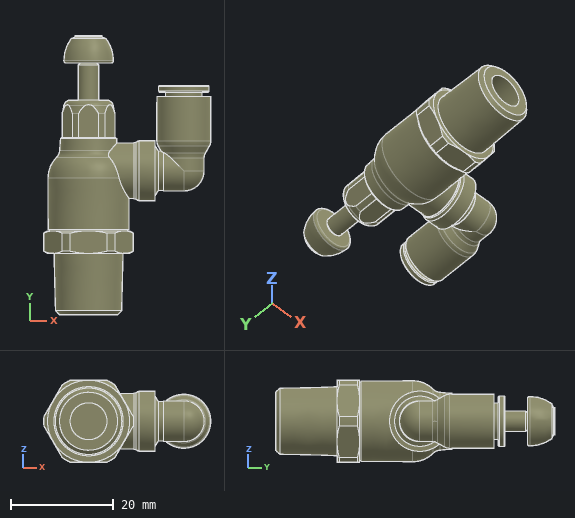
import cadquery as cq
import math

OVERALL_LENGTH = 54.4

THREAD_TIP_RADIUS = 6.5
THREAD_ROOT_RADIUS = 6.75
THREAD_LENGTH = 11.95
THREAD_CHAMFER = 0.8
BORE_RADIUS = 3.6
BORE_DEPTH = THREAD_LENGTH

HEX_FLATS = 16.0
HEX_CORNER_RADIUS = 8.75
HEX_HEIGHT = 4.4
HEX_CHAMFER_ANGLE = 30.0

RELIEF_RADIUS = 7.65
RELIEF_TOP_Y = 16.6
BODY_BASE_RADIUS = 7.9
BODY_RADIUS = 7.95
DOME_START_Y = 26.65
DOME_RADIUS = 5.65
DOME_SWEEP = 45.0
NECK_BASE_RADIUS = 5.65
NECK_BASE_Y = 32.05
NECK_TOP_RADIUS = 5.5
NECK_TOP_Y = 34.6
NECK_CHAMFER = 0.25

NUT_FLATS = 9.6
NUT_CORNER_RADIUS = 5.15
NUT_TAPER_Y = 39.2
NUT_CROWN_Y = 40.75
NUT_CROWN_RADIUS = 4.85
NUT_TOP_Y = 41.85
NUT_TOP_RADIUS = 3.8

STEM_RADIUS = 2.0
STEM_CHAMFER = 0.3
KNOB_BOTTOM_Y = 49.0
KNOB_RADIUS = 4.85
KNOB_RIM_HEIGHT = 0.55
KNOB_RIM_FILLET = 0.5
KNOB_SHOULDER_RADIUS = 3.4
KNOB_SHOULDER_Y = 53.8
KNOB_BUTTON_RADIUS = 2.65
KNOB_BUTTON_Y = 54.15

ARM_Y = 28.05
ARM_RADIUS = 5.45
ARM_END_X = 8.85
ARM_LIP_RADIUS = 5.55
ARM_LIP_END_X = 9.2
COLLAR_RADIUS = 5.9
COLLAR_START_X = 9.8
COLLAR_END_X = 12.95
SWIVEL_CONE_RADIUS = 4.9
SWIVEL_CONE_END_X = 13.6
SWIVEL_RADIUS = 3.85
ELBOW_START_X = 14.65

ELBOW_X = 18.55
ELBOW_RADIUS = 3.95
PORT_RADIUS = 5.3
PORT_CONE_START_Y = 31.05
PORT_CONE_END_Y = 33.35
PORT_CONE_FILLET = 1.9
PORT_TOP_Y = 42.55
SLEEVE_RADIUS = 3.6
FLANGE_RADIUS = 4.95
FLANGE_BOTTOM_Y = 43.35
FLANGE_TOP_Y = 44.7
FLANGE_CHAMFER = 0.2


def revolve_about_y(profile):
    return profile.close().revolve(360, (0, 0, 0), (0, 1, 0))


def hexagon(flats, bottom_y, top_y):
    """Hexagonal prism along Y with two corners on the X axis."""
    corner_diameter = flats / math.cos(math.pi / 6)
    base = cq.Workplane("XZ", origin=(0, bottom_y, 0))
    return base.polygon(6, corner_diameter).extrude(bottom_y - top_y)


def make_thread():
    end_radius = THREAD_TIP_RADIUS - THREAD_CHAMFER
    profile = (
        cq.Workplane("XY")
        .lineTo(end_radius, 0)
        .lineTo(THREAD_TIP_RADIUS, THREAD_CHAMFER)
        .lineTo(THREAD_ROOT_RADIUS, THREAD_LENGTH)
        .lineTo(0, THREAD_LENGTH)
    )
    return revolve_about_y(profile)


def make_wrench_hexagon():
    top_y = THREAD_LENGTH + HEX_HEIGHT
    face_radius = HEX_FLATS / 2
    chamfer = (HEX_CORNER_RADIUS - face_radius) * math.tan(math.radians(HEX_CHAMFER_ANGLE))
    envelope = (
        cq.Workplane("XY")
        .moveTo(0, THREAD_LENGTH)
        .lineTo(face_radius, THREAD_LENGTH)
        .lineTo(HEX_CORNER_RADIUS, THREAD_LENGTH + chamfer)
        .lineTo(HEX_CORNER_RADIUS, top_y - chamfer)
        .lineTo(face_radius, top_y)
        .lineTo(0, top_y)
    )
    return hexagon(HEX_FLATS, THREAD_LENGTH, top_y).intersect(revolve_about_y(envelope))


def make_body():
    """Slightly tapered barrel, convex shoulder dome and tangent concave fillet up to the neck."""
    def dome_point(degrees):
        angle = math.radians(degrees)
        return (
            BODY_RADIUS - DOME_RADIUS * (1 - math.cos(angle)),
            DOME_START_Y + DOME_RADIUS * math.sin(angle),
        )

    profile = (
        cq.Workplane("XY")
        .moveTo(0, THREAD_LENGTH)
        .lineTo(RELIEF_RADIUS, THREAD_LENGTH)
        .lineTo(RELIEF_RADIUS, RELIEF_TOP_Y)
        .lineTo(BODY_BASE_RADIUS, RELIEF_TOP_Y)
        .lineTo(BODY_RADIUS, DOME_START_Y)
        .threePointArc(dome_point(DOME_SWEEP / 2), dome_point(DOME_SWEEP))
        .tangentArcPoint((NECK_BASE_RADIUS, NECK_BASE_Y), relative=False)
        .lineTo(NECK_TOP_RADIUS, NECK_TOP_Y - NECK_CHAMFER)
        .lineTo(NECK_TOP_RADIUS - NECK_CHAMFER, NECK_TOP_Y)
        .lineTo(0, NECK_TOP_Y)
    )
    return revolve_about_y(profile)


def make_lock_nut():
    envelope = (
        cq.Workplane("XY")
        .moveTo(0, NECK_TOP_Y)
        .lineTo(NUT_CORNER_RADIUS, NECK_TOP_Y)
        .lineTo(NUT_CORNER_RADIUS, NUT_TAPER_Y)
        .lineTo(NUT_CROWN_RADIUS, NUT_CROWN_Y)
        .tangentArcPoint((NUT_TOP_RADIUS, NUT_TOP_Y), relative=False)
        .lineTo(0, NUT_TOP_Y)
    )
    return hexagon(NUT_FLATS, NECK_TOP_Y, NUT_TOP_Y).intersect(revolve_about_y(envelope))


def make_stem():
    profile = (
        cq.Workplane("XY")
        .moveTo(0, NECK_TOP_Y)
        .lineTo(STEM_RADIUS, NECK_TOP_Y)
        .lineTo(STEM_RADIUS, KNOB_BOTTOM_Y - STEM_CHAMFER)
        .lineTo(STEM_RADIUS - STEM_CHAMFER, KNOB_BOTTOM_Y)
        .lineTo(0, KNOB_BOTTOM_Y)
    )
    return revolve_about_y(profile)


def make_knob():
    profile = (
        cq.Workplane("XY")
        .moveTo(0, KNOB_BOTTOM_Y)
        .lineTo(KNOB_RADIUS, KNOB_BOTTOM_Y)
        .lineTo(KNOB_RADIUS, KNOB_BOTTOM_Y + KNOB_RIM_HEIGHT)
        .tangentArcPoint((KNOB_SHOULDER_RADIUS, KNOB_SHOULDER_Y), relative=False)
        .lineTo(KNOB_BUTTON_RADIUS, KNOB_BUTTON_Y)
        .lineTo(KNOB_BUTTON_RADIUS, OVERALL_LENGTH)
        .lineTo(0, OVERALL_LENGTH)
    )
    return revolve_about_y(profile).faces("<Y").edges().fillet(KNOB_RIM_FILLET)


def make_side_arm():
    """Stepped arm from the body axis to the elbow corner, turned about its own X axis."""
    profile = (
        cq.Workplane("XY", origin=(0, ARM_Y, 0))
        .lineTo(0, ARM_RADIUS)
        .lineTo(ARM_END_X, ARM_RADIUS)
        .lineTo(ARM_END_X, ARM_LIP_RADIUS)
        .lineTo(ARM_LIP_END_X, ARM_LIP_RADIUS)
        .lineTo(COLLAR_START_X, COLLAR_RADIUS)
        .lineTo(COLLAR_END_X, COLLAR_RADIUS)
        .lineTo(COLLAR_END_X, SWIVEL_CONE_RADIUS)
        .lineTo(SWIVEL_CONE_END_X, SWIVEL_RADIUS)
        .lineTo(ELBOW_START_X, SWIVEL_RADIUS)
        .lineTo(ELBOW_START_X, ELBOW_RADIUS)
        .lineTo(ELBOW_X, ELBOW_RADIUS)
        .tangentArcPoint((ELBOW_X + ELBOW_RADIUS, 0), relative=False)
        .close()
    )
    return profile.revolve(360, (0, 0, 0), (1, 0, 0))


def make_port():
    """Elbow leg and push-in port with its release sleeve, turned about the port axis."""
    housing_profile = (
        cq.Workplane("XY", origin=(ELBOW_X, 0, 0))
        .moveTo(0, ARM_Y)
        .lineTo(ELBOW_RADIUS, ARM_Y)
        .lineTo(ELBOW_RADIUS, PORT_CONE_START_Y)
        .lineTo(PORT_RADIUS, PORT_CONE_END_Y)
        .lineTo(PORT_RADIUS, PORT_TOP_Y)
        .lineTo(0, PORT_TOP_Y)
    )
    margin = ELBOW_RADIUS / 10
    cone_rims = cq.selectors.BoxSelector(
        (ELBOW_X - margin, PORT_CONE_START_Y - margin, -margin),
        (ELBOW_X + margin, PORT_CONE_END_Y + margin, margin),
    )
    housing = revolve_about_y(housing_profile).edges("%CIRCLE").edges(cone_rims)
    housing = housing.fillet(PORT_CONE_FILLET)
    sleeve_profile = (
        cq.Workplane("XY", origin=(ELBOW_X, 0, 0))
        .moveTo(0, PORT_TOP_Y)
        .lineTo(SLEEVE_RADIUS, PORT_TOP_Y)
        .lineTo(SLEEVE_RADIUS, FLANGE_BOTTOM_Y)
        .lineTo(FLANGE_RADIUS - FLANGE_CHAMFER, FLANGE_BOTTOM_Y)
        .lineTo(FLANGE_RADIUS, FLANGE_BOTTOM_Y + FLANGE_CHAMFER)
        .lineTo(FLANGE_RADIUS, FLANGE_TOP_Y - FLANGE_CHAMFER)
        .lineTo(FLANGE_RADIUS - FLANGE_CHAMFER, FLANGE_TOP_Y)
        .lineTo(0, FLANGE_TOP_Y)
    )
    return housing.union(revolve_about_y(sleeve_profile))


def make_bore():
    return cq.Workplane("XZ").circle(BORE_RADIUS).extrude(-BORE_DEPTH)


result = (
    make_thread()
    .union(make_wrench_hexagon())
    .union(make_body())
    .union(make_lock_nut())
    .union(make_stem())
    .union(make_knob())
    .union(make_side_arm())
    .union(make_port())
    .cut(make_bore())
)